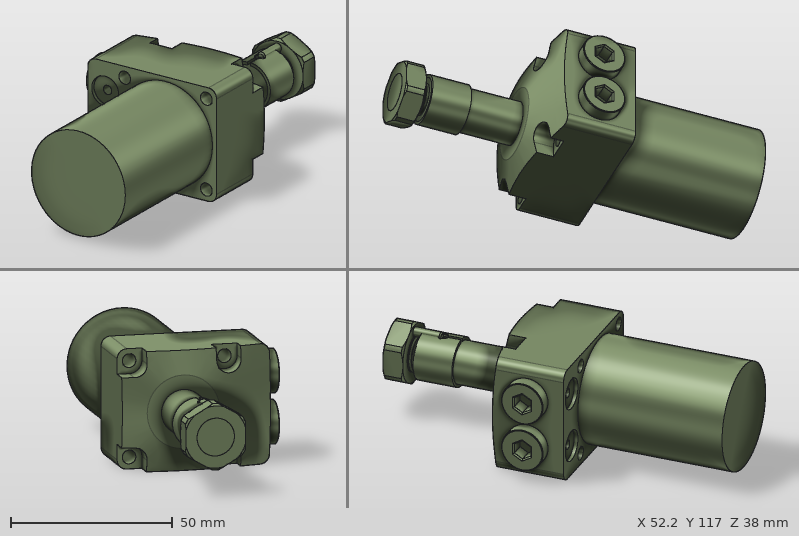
import cadquery as cq
import math


overall_length = 117.0

block_width = 48.0
block_height = 38.0
block_length = 28.5
block_right = block_height / 2
block_left = block_right - block_width
corner_radius = 3.0
barrel_diameter = 35.0
barrel_length = 48.3
crown_flat_radius = 11.6
crown_angle = 15.0
mount_offset = 15.2
mount_hole_diameter = 4.3
pocket_radius = 4.1
pocket_floor = 20.1

port_x = -22.5
port_z = 9.0
port_diameter = 3.0
port_recess_diameter = 10.1
port_recess_depth = 1.3
plug_y = 12.2
plug_z = 8.1
plug_flange_diameter = 13.9
plug_flange_thickness = 4.2
plug_flange_chamfer = 0.2
plug_shank_diameter = 10.0
plug_shank_length = 7.6
socket_across_flats = 5.5
socket_mouth_across_flats = 6.4
socket_depth = 5.0

rod_diameter = 14.0
collar_outer_diameter = 16.0
collar_start = 46.2
collar_end = 59.2
slit_width = 1.0
pin_diameter = 3.0
slot_width = 3.4
pin_offset = 7.5
pin_end = 52.8
pin_chamfer = 0.5
slot_end = 50.8
undercut_diameter = 10.3
thread_diameter = 11.9
thread_pitch = 1.0
thread_turns = 2

nut_across_flats = 19.1
nut_outer_diameter = 21.1
nut_bearing_diameter = 19.2
nut_outer_face_diameter = 19.7
nut_chamfer_angle = 30.0
nut_bottom = 62.0
nut_top = overall_length - barrel_length

signs = (-1, 1)


def y_cylinder(diameter, start, end, x=0, z=0):
    """Solid cylinder parallel to Y between two Y positions."""
    plane = cq.Plane(origin=(x, start, z), xDir=(1, 0, 0), normal=(0, 1, 0))
    return cq.Workplane(plane).circle(diameter / 2).extrude(end - start)


def x_cylinder(diameter, start, end, y, z):
    """Solid cylinder parallel to X between two X positions."""
    plane = cq.Plane(origin=(start, y, z), xDir=(0, 1, 0), normal=(1, 0, 0))
    return cq.Workplane(plane).circle(diameter / 2).extrude(end - start)


def box_between(x_range, y_range, z_range):
    """Box spanning the given pairs of limits, in either order."""
    limits = (x_range, y_range, z_range)
    sizes = [abs(b - a) for a, b in limits]
    middle = tuple((a + b) / 2 for a, b in limits)
    return cq.Workplane("XY").box(*sizes).translate(middle)


def across_corners(across_flats):
    """Corner-to-corner size of a regular hexagon."""
    return across_flats / math.cos(math.radians(30))


def revolve_about_y(points):
    """Solid of revolution about Y from a closed (radius, y) outline."""
    return cq.Workplane("XY").polyline(points).close().revolve(360, (0, 0, 0), (0, 1, 0))


def make_crown():
    """Envelope whose far end is a shallow cone around a flat."""
    outer_radius = block_width
    drop = (outer_radius - crown_flat_radius) * math.tan(math.radians(crown_angle))
    return revolve_about_y([
        (0, 0),
        (outer_radius, 0),
        (outer_radius, block_length - drop),
        (crown_flat_radius, block_length),
        (0, block_length),
    ])


def make_screw_pocket(side_x, side_z):
    """Screw-head pocket, open to the upper or lower side, and on the right also to that side."""
    x = side_x * mount_offset
    z = side_z * mount_offset
    depth_range = (pocket_floor, block_length)
    z_range = (z, side_z * block_height)
    pocket = y_cylinder(2 * pocket_radius, *depth_range, x, z)
    pocket = pocket.union(box_between((x - pocket_radius, x + pocket_radius), depth_range, z_range))
    if side_x > 0:
        wide_z_range = (z - side_z * pocket_radius, side_z * block_height)
        pocket = pocket.union(box_between((x, block_width), depth_range, wide_z_range))
    return pocket


def make_housing():
    block = box_between(
        (block_left, block_right), (0, block_length), (-block_height / 2, block_height / 2)
    )
    block = block.edges("|Y").fillet(corner_radius).intersect(make_crown())
    housing = block.union(y_cylinder(barrel_diameter, -barrel_length, 0))

    for side_z in signs:
        for side_x in signs:
            hole = y_cylinder(
                mount_hole_diameter, 0, block_length, side_x * mount_offset, side_z * mount_offset
            )
            housing = housing.cut(hole).cut(make_screw_pocket(side_x, side_z))

        housing = housing.cut(
            y_cylinder(port_recess_diameter, 0, port_recess_depth, port_x, side_z * port_z)
        )
        housing = housing.cut(y_cylinder(port_diameter, 0, plug_y, port_x, side_z * port_z))
        housing = housing.cut(
            x_cylinder(
                plug_shank_diameter, block_left, block_left + plug_shank_length,
                plug_y, side_z * plug_z,
            )
        )
    return housing


def make_plug(side_z):
    z = side_z * plug_z
    outer_x = block_left - plug_flange_thickness
    flange = x_cylinder(plug_flange_diameter, outer_x, block_left, plug_y, z)
    flange = flange.faces("<X").edges().chamfer(plug_flange_chamfer)
    shank = x_cylinder(
        plug_shank_diameter, block_left, block_left + plug_shank_length, plug_y, z
    )
    socket_plane = cq.Plane(origin=(outer_x, plug_y, z), xDir=(0, 0, 1), normal=(1, 0, 0))
    socket = (
        cq.Workplane(socket_plane)
        .polygon(6, across_corners(socket_across_flats))
        .extrude(socket_depth)
    )

    mouth_depth = (socket_mouth_across_flats - socket_across_flats) / 2
    mouth = (
        cq.Workplane(socket_plane)
        .polygon(6, across_corners(socket_mouth_across_flats))
        .workplane(offset=mouth_depth)
        .polygon(6, across_corners(socket_across_flats))
        .loft(ruled=True)
    )
    return flange.union(shank).cut(socket).cut(mouth)


def make_pin_slot():
    """Round-bottomed slot, open outward, in which the pin lies across rod and collar."""
    radius = slot_width / 2
    round_center = slot_end + radius
    outside = collar_outer_diameter
    slot = y_cylinder(slot_width, round_center, nut_bottom, 0, pin_offset)
    slot = slot.union(cq.Workplane("XY").sphere(radius).translate((0, round_center, pin_offset)))
    slot = slot.union(
        box_between((-radius, radius), (round_center, nut_bottom), (pin_offset, outside))
    )
    round_end = (
        cq.Workplane("XY", origin=(0, round_center, pin_offset))
        .circle(radius)
        .extrude(outside - pin_offset)
    )
    return slot.union(round_end)


def make_rod():
    """Piston rod with a stud that ends flush with the nut; its exposed thread is ring ridges."""
    root = undercut_diameter / 2
    crest = thread_diameter / 2
    outline = [(0, block_length), (rod_diameter / 2, block_length), (rod_diameter / 2, collar_end)]
    thread_start = nut_bottom - thread_turns * thread_pitch
    outline += [(root, collar_end), (root, thread_start)]
    for turn in range(thread_turns):
        turn_start = thread_start + turn * thread_pitch
        outline.append((crest, turn_start + thread_pitch / 2))
        outline.append((root, turn_start + thread_pitch))
    outline += [(crest, nut_bottom), (crest, nut_top), (0, nut_top)]
    return revolve_about_y(outline).cut(make_pin_slot())


def make_collar():
    """Sleeve around the rod end, split from the pin slot to its inner end."""
    collar = y_cylinder(collar_outer_diameter, collar_start, collar_end)
    collar = collar.cut(y_cylinder(rod_diameter, collar_start, collar_end))
    slit = box_between(
        (-slit_width / 2, slit_width / 2),
        (collar_start, slot_end + slot_width / 2),
        (0, collar_outer_diameter),
    )
    return collar.cut(slit).cut(make_pin_slot())


def make_pin():
    pin = y_cylinder(pin_diameter, pin_end, nut_bottom, 0, pin_offset)
    return pin.faces("<Y").edges().chamfer(pin_chamfer)


def make_nut():
    """Hexagon nut with turned corners and conical chamfers at both ends."""
    outer_radius = nut_outer_diameter / 2
    bearing_radius = nut_bearing_diameter / 2
    top_radius = nut_outer_face_diameter / 2
    slope = math.tan(math.radians(nut_chamfer_angle))
    turned = revolve_about_y([
        (0, nut_bottom),
        (bearing_radius, nut_bottom),
        (outer_radius, nut_bottom + (outer_radius - bearing_radius) * slope),
        (outer_radius, nut_top - (outer_radius - top_radius) * slope),
        (top_radius, nut_top),
        (0, nut_top),
    ])
    plane = cq.Plane(origin=(0, nut_bottom, 0), xDir=(0, 0, 1), normal=(0, 1, 0))
    hexagon = cq.Workplane(plane).polygon(6, across_corners(nut_across_flats)).extrude(nut_top - nut_bottom)
    return hexagon.intersect(turned).cut(y_cylinder(thread_diameter, nut_bottom, nut_top))


housing = make_housing()
plugs = [make_plug(side_z) for side_z in signs]
rod = make_rod()
collar = make_collar()
pin = make_pin()
nut = make_nut()

result = cq.Compound.makeCompound([
    housing.val(),
    *[plug.val() for plug in plugs],
    rod.val(),
    collar.val(),
    pin.val(),
    nut.val(),
])